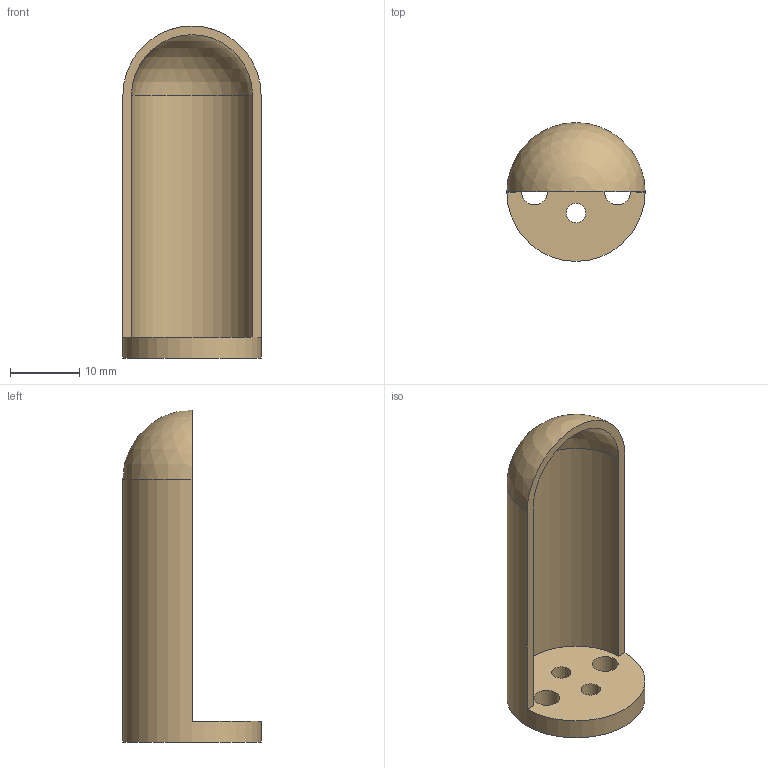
import cadquery as cq

outer_diameter = 20.0
total_height = 48.0
wall_thickness = 1.25
base_thickness = 3.0

large_hole_diameter = 3.7
large_hole_offset = 6.0
small_hole_diameter = 2.8
small_hole_offset = 3.0

outer_radius = outer_diameter / 2
inner_radius = outer_radius - wall_thickness
dome_center_height = total_height - outer_radius


def domed_cylinder(radius, bottom_height):
    """Upright cylinder from bottom_height, closed by a hemisphere of the same radius."""
    cylinder = (
        cq.Workplane("XY")
        .workplane(offset=bottom_height)
        .circle(radius)
        .extrude(dome_center_height - bottom_height)
    )
    dome = (
        cq.Workplane("XY")
        .sphere(radius, angle1=0)
        .translate((0, 0, dome_center_height))
    )
    return cylinder.union(dome)


def half_shell():
    """Domed, hollow shell kept only on the +Y side."""
    shell = domed_cylinder(outer_radius, 0).cut(domed_cylinder(inner_radius, base_thickness))
    rear_half = cq.Workplane("XY").box(
        outer_diameter, outer_radius, total_height, centered=(True, False, False)
    )
    return shell.intersect(rear_half)


def base_disc():
    """Full round base that closes the bottom of the shell."""
    return cq.Workplane("XY").circle(outer_radius).extrude(base_thickness)


def base_holes(diameter, centers):
    """Cylinders that pass through the base at the given centers."""
    return cq.Workplane("XY").pushPoints(centers).circle(diameter / 2).extrude(base_thickness)


large_holes = base_holes(large_hole_diameter, [(-large_hole_offset, 0), (large_hole_offset, 0)])
small_holes = base_holes(small_hole_diameter, [(0, -small_hole_offset), (0, small_hole_offset)])

result = half_shell().union(base_disc()).cut(large_holes).cut(small_holes)